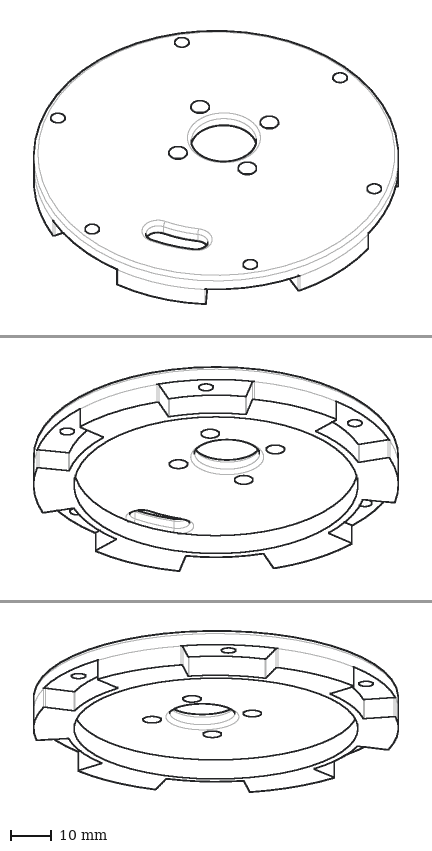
import cadquery as cq
import math

outer_radius = 45.0
total_height = 9.0
plate_thickness = 4.0
edge_fillet = 1.0
skirt_height = total_height - plate_thickness

ring_outer_radius = 37.0
ring_inner_radius = 35.0
lug_count = 6
lug_pitch = 360 / lug_count
lug_angle = lug_pitch / 2
lug_corner_fillet = 0.4
lug_root_fillet = 0.2

rim_hole_diameter = 3.5
rim_hole_circle_radius = 41.0

shaft_center_y = 6.0
shaft_hole_diameter = 16.0
mount_hole_diameter = 4.5
mount_pitch_x = 18.0
mount_pitch_y = 17.5

slot_path_radius = 31.5
slot_end_radius = 3.0
slot_center_angle = -90
slot_half_angle = 9


def polar(radius, degrees):
    """Point at a radius and an angle around the plate axis."""
    angle = math.radians(degrees)
    return (radius * math.cos(angle), radius * math.sin(angle))


def distance_from_axis(edge):
    center = edge.Center()
    return math.hypot(center.x, center.y)


def make_hole_cutters(diameter, centers):
    return cq.Workplane("XY").pushPoints(centers).circle(diameter / 2).extrude(total_height)


def make_slot_cutter():
    """Curved slot on the -Y side with round ends."""
    start = slot_center_angle - slot_half_angle
    end = slot_center_angle + slot_half_angle
    inner = slot_path_radius - slot_end_radius
    outer = slot_path_radius + slot_end_radius

    def end_tip(end_angle, side):
        """Farthest point of a round end; side is +1 or -1 along the path."""
        center_x, center_y = polar(slot_path_radius, end_angle)
        offset_x, offset_y = polar(slot_end_radius, end_angle + side * 90)
        return (center_x + offset_x, center_y + offset_y)

    return (
        cq.Workplane("XY")
        .moveTo(*polar(inner, start))
        .threePointArc(polar(inner, slot_center_angle), polar(inner, end))
        .threePointArc(end_tip(end, 1), polar(outer, end))
        .threePointArc(polar(outer, slot_center_angle), polar(outer, start))
        .threePointArc(end_tip(start, -1), polar(inner, start))
        .close()
        .extrude(total_height)
    )


def make_plate():
    """Disc whose shaft opening and slot are rounded on both faces and its rim on top only."""
    plate = cq.Workplane("XY").workplane(offset=skirt_height).circle(outer_radius).extrude(plate_thickness)
    plate = plate.cut(make_hole_cutters(shaft_hole_diameter, [(0, shaft_center_y)]))
    plate = plate.cut(make_slot_cutter())
    plate = plate.faces(">Z").edges().fillet(edge_fillet)
    opening_wires = plate.faces("<Z").val().innerWires()
    opening_edges = [edge for wire in opening_wires for edge in wire.Edges()]
    return plate.newObject(opening_edges).fillet(edge_fillet)


def cut_screw_holes(plate):
    """Sharp-edged through holes on the rim and around the shaft opening."""
    rim_centers = [polar(rim_hole_circle_radius, i * lug_pitch) for i in range(lug_count)]
    mount_centers = [
        (side_x * mount_pitch_x / 2, shaft_center_y + side_y * mount_pitch_y / 2)
        for side_x in (-1, 1)
        for side_y in (-1, 1)
    ]
    plate = plate.cut(make_hole_cutters(rim_hole_diameter, rim_centers))
    return plate.cut(make_hole_cutters(mount_hole_diameter, mount_centers))


def make_lug(center_angle):
    """Ring sector from the inside of the ring to the plate edge."""
    start = center_angle - lug_angle / 2
    end = center_angle + lug_angle / 2
    return (
        cq.Workplane("XY")
        .moveTo(*polar(ring_inner_radius, start))
        .lineTo(*polar(outer_radius, start))
        .threePointArc(polar(outer_radius, center_angle), polar(outer_radius, end))
        .lineTo(*polar(ring_inner_radius, end))
        .threePointArc(polar(ring_inner_radius, center_angle), polar(ring_inner_radius, start))
        .close()
        .extrude(skirt_height)
    )


def make_skirt():
    """Ring with lugs, rounded at the lug corners and where the lugs meet the ring."""
    skirt = cq.Workplane("XY").circle(ring_outer_radius).circle(ring_inner_radius).extrude(skirt_height)
    for i in range(lug_count):
        skirt = skirt.union(make_lug((i + 0.5) * lug_pitch))

    middle_radius = (ring_outer_radius + outer_radius) / 2
    outer_corners = skirt.edges("|Z").filter(lambda edge: distance_from_axis(edge) > middle_radius)
    skirt = outer_corners.fillet(lug_corner_fillet)

    smallest_root_radius = (ring_inner_radius + ring_outer_radius) / 2
    root_corners = skirt.edges("|Z").filter(
        lambda edge: smallest_root_radius < distance_from_axis(edge) < middle_radius
    )
    return root_corners.fillet(lug_root_fillet)


result = cut_screw_holes(make_plate()).union(make_skirt(), clean=False)